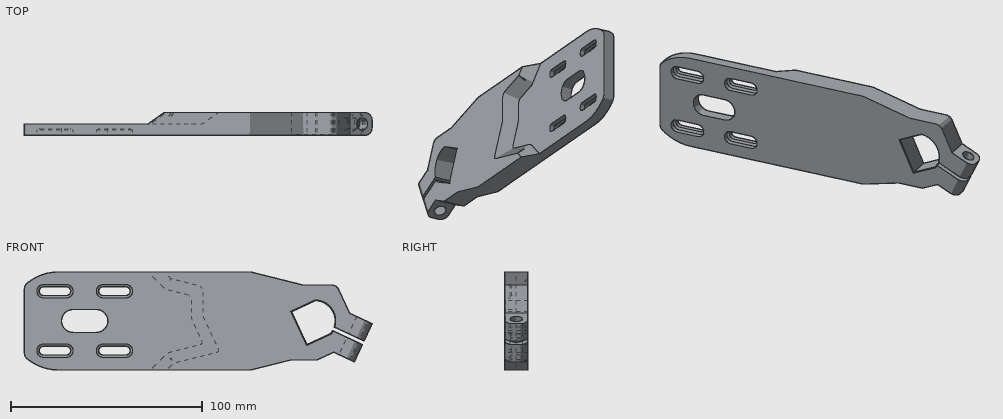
import cadquery as cq
import math

total_length = 181.35
plate_height = 51.2
full_thickness = 12.0
thin_thickness = 6.0
half_height = plate_height / 2

end_large_radius = half_height
end_small_radius = 4.0
end_arc_start_x = 17.8

taper_start_x = 118.0
taper_slope = 0.25
taper_top_z = 18.8
taper_bottom_z = -20.4
taper_corner_radius = 5.0

clamp_angle = 25.0
bore_rim_radius = 11.0
bore_rim_flat_distance = 9.2
bore_rim_width = 19.6
bore_chamfer = 0.4
bore_chamfer_angle = 45.0

hub_right_distance = 18.3
hub_lower_distance = 19.0
hub_corner_radius = 4.2

ear_reach = 27.8
ear_half_width = 11.0
ear_offset = 0.4
ear_end_radius = 4.2
slit_width = 2.0
screw_diameter = 6.3
screw_reach = 22.0

slot_center_x = 31.5
slot_pitch = 31.0
slot_length = 16.3
slot_width = 4.4
slot_counterbore_depth = 2.8
slot_bevel_width = 1.3
slot_bevel_angle = 25.0
center_slot_length = 24.0
center_slot_width = 11.8

recess_depth = full_thickness - thin_thickness
recess_wall_angle = 45.0
recess_margin = 20.0
recess_top_x = 72.9
recess_corner_run = 3.6
recess_upper_length = 16.6
recess_wall_end_z = 2.6
recess_far_z = -16.0
recess_upper_corner_radius = 5.0
recess_far_corner_radius = 2.0
corner_tolerance = 0.01

clamp_cos = math.cos(math.radians(clamp_angle))
clamp_sin = math.sin(math.radians(clamp_angle))

double_angle_cos = math.cos(math.radians(2 * clamp_angle))
double_angle_sin = math.sin(math.radians(2 * clamp_angle))

bore_center_x = total_length - ear_reach * clamp_cos - (ear_offset + ear_half_width) * clamp_sin


def extrude_back(sketch, depth):
    """Extrude an XZ sketch from its plane towards +Y."""
    return sketch.extrude(-depth)


def ear_point(reach, side):
    """Point at a reach from the bore centre along the slit and a side distance from the slit's middle."""
    offset = ear_offset + side
    return (
        bore_center_x + reach * clamp_cos + offset * clamp_sin,
        -reach * clamp_sin + offset * clamp_cos,
    )


def bore_point(along, side):
    """Point at a distance along the bore's square axis and a side offset square to it."""
    return (
        bore_center_x + along * clamp_cos - side * clamp_sin,
        along * clamp_sin + side * clamp_cos,
    )


def bore_side_at_z(side, z):
    """Point on the line at a side offset of the bore axis, at height z."""
    return bore_point((z - side * clamp_cos) / clamp_sin, side)


def bore_along_at_z(along, z):
    """Point on the line square to the bore axis at a given distance, at height z."""
    return bore_point(along, (z - along * clamp_sin) / clamp_cos)


def ear_edge_along(along, side):
    """Point where an ear edge meets the hub line square to the bore axis."""
    return ear_point((along - (ear_offset + side) * double_angle_sin) / double_angle_cos, side)


def ear_edge_side(hub_side, side):
    """Point where an ear edge meets the hub line parallel to the bore axis."""
    return ear_point(((ear_offset + side) * double_angle_cos - hub_side) / double_angle_sin, side)


def vertical_edge_near(point):
    """Selector for the Y-direction edge that passes through an XZ point."""
    return cq.selectors.NearestToPointSelector((point[0], full_thickness / 2, point[1]))


def make_plate():
    """Full-thickness plate with the clamp hub and ears."""
    blend_reach = end_large_radius - end_small_radius
    blend_z = math.sqrt(blend_reach**2 - (end_arc_start_x - end_small_radius) ** 2)
    junction_scale = end_large_radius / blend_reach
    junction_x = end_arc_start_x + (end_small_radius - end_arc_start_x) * junction_scale
    junction_z = blend_z * junction_scale
    junction_angle = math.atan2(blend_z, end_arc_start_x - end_small_radius)

    large_mid_angle = (junction_angle + math.pi / 2) / 2
    large_mid_x = end_arc_start_x - end_large_radius * math.cos(large_mid_angle)
    large_mid_z = end_large_radius * math.sin(large_mid_angle)
    small_mid_x = end_small_radius * (1 - math.cos(junction_angle / 2))
    small_mid_z = blend_z + end_small_radius * math.sin(junction_angle / 2)

    taper_start_top = (taper_start_x, half_height)
    taper_start_bottom = (taper_start_x, -half_height)
    taper_end_top = (taper_start_x + (half_height - taper_top_z) / taper_slope, taper_top_z)
    taper_end_bottom = (taper_start_x + (half_height + taper_bottom_z) / taper_slope, taper_bottom_z)
    hub_corner = bore_along_at_z(hub_right_distance, taper_top_z)

    outline = (
        cq.Workplane("XZ")
        .moveTo(end_arc_start_x, half_height)
        .lineTo(*taper_start_top)
        .lineTo(*taper_end_top)
        .lineTo(*hub_corner)
        .lineTo(*ear_edge_along(hub_right_distance, ear_half_width))
        .lineTo(*ear_point(ear_reach, ear_half_width))
        .lineTo(*ear_point(ear_reach, -ear_half_width))
        .lineTo(*ear_edge_side(-hub_lower_distance, -ear_half_width))
        .lineTo(*bore_side_at_z(-hub_lower_distance, taper_bottom_z))
        .lineTo(*taper_end_bottom)
        .lineTo(*taper_start_bottom)
        .lineTo(end_arc_start_x, -half_height)
        .threePointArc((large_mid_x, -large_mid_z), (junction_x, -junction_z))
        .threePointArc((small_mid_x, -small_mid_z), (0, -blend_z))
        .lineTo(0, blend_z)
        .threePointArc((small_mid_x, small_mid_z), (junction_x, junction_z))
        .threePointArc((large_mid_x, large_mid_z), (end_arc_start_x, half_height))
        .close()
    )
    plate = extrude_back(outline, full_thickness)

    for corner in (taper_start_top, taper_start_bottom, taper_end_top, taper_end_bottom):
        plate = plate.edges(vertical_edge_near(corner)).fillet(taper_corner_radius)
    plate = plate.edges(vertical_edge_near(hub_corner)).fillet(hub_corner_radius)

    for end_y in (0, full_thickness):
        end_x, end_z = ear_point(ear_reach, 0)
        end_edge = cq.selectors.NearestToPointSelector((end_x, end_y, end_z))
        plate = plate.edges(end_edge).fillet(ear_end_radius)
    return plate


def make_recess():
    """Tool that clears the back of the thin end; its wall shrinks towards the recess floor."""
    upper_start = (recess_top_x + recess_corner_run, half_height - recess_corner_run)
    wall_top = (upper_start[0] + recess_upper_length, upper_start[1] - recess_upper_length * taper_slope)
    wall_end = (wall_top[0], recess_wall_end_z)
    far_run = (recess_wall_end_z - recess_far_z) * math.tan(math.radians(clamp_angle))
    far_corner = (wall_end[0] + far_run, recess_far_z)
    lower_end_z = recess_corner_run - half_height
    lower_end = (far_corner[0] - (recess_far_z - lower_end_z) / taper_slope, lower_end_z)

    outer_z = half_height + recess_margin
    rim = [
        (-recess_margin, outer_z),
        (recess_top_x - recess_margin, outer_z),
        upper_start,
        wall_top,
        wall_end,
        far_corner,
        lower_end,
        (lower_end[0] - recess_corner_run - recess_margin, -outer_z),
        (-recess_margin, -outer_z),
    ]
    sketch = cq.Workplane("XZ", origin=(0, full_thickness, 0)).polyline(rim).close()
    recess = sketch.extrude(recess_depth, taper=recess_wall_angle)
    for corner, radius in (
        (wall_top, recess_upper_corner_radius),
        (far_corner, recess_far_corner_radius),
    ):
        rim_corner = cq.Vertex.makeVertex(corner[0], full_thickness, corner[1])
        wall_edges = recess.edges("not #Y")
        corner_edge = wall_edges.filter(lambda edge: edge.distance(rim_corner) < corner_tolerance)
        recess = corner_edge.fillet(radius)
    return recess


def bore_sketch(inset):
    """Bore outline with every wall moved inwards from the rim by the inset."""
    radius = bore_rim_radius - inset
    half_width = bore_rim_width / 2 - inset
    flat = inset - bore_rim_flat_distance
    meeting = math.sqrt(radius**2 - half_width**2)
    return (
        cq.Workplane("XZ")
        .moveTo(*bore_point(flat, half_width))
        .lineTo(*bore_point(meeting, half_width))
        .threePointArc(bore_point(radius, 0), bore_point(meeting, -half_width))
        .lineTo(*bore_point(flat, -half_width))
        .close()
    )


def make_bore():
    """Through bore with one square side and a chamfered front rim."""
    through = extrude_back(bore_sketch(bore_chamfer), full_thickness)
    chamfer = bore_sketch(0).extrude(-bore_chamfer, taper=bore_chamfer_angle)
    return through.union(chamfer)


def make_slit():
    """Slit from the bore out between the ears."""
    half_slit = slit_width / 2
    outline = cq.Workplane("XZ").polyline(
        [
            ear_point(0, half_slit),
            ear_point(ear_reach + slit_width, half_slit),
            ear_point(ear_reach + slit_width, -half_slit),
            ear_point(0, -half_slit),
        ]
    ).close()
    return extrude_back(outline, full_thickness)


def make_screw_hole():
    """Clamp screw hole square to the slit, through both ears."""
    hole_length = 4 * ear_half_width
    start_x, start_z = ear_point(screw_reach, -hole_length / 2)
    return cq.Workplane(
        cq.Solid.makeCylinder(
            screw_diameter / 2,
            hole_length,
            cq.Vector(start_x, full_thickness / 2, start_z),
            cq.Vector(clamp_sin, 0, clamp_cos),
        )
    )


def make_slot(center_x, center_z, length, width):
    """Plain through slot along X."""
    sketch = cq.Workplane("XZ").center(center_x, center_z).slot2D(length, width)
    return extrude_back(sketch, full_thickness)


def make_counterbored_slot(center_x, center_z):
    """Through slot with a wider, deeper front part that ends in a sloping step."""
    wide_length = slot_length + 2 * slot_bevel_width
    wide_width = slot_width + 2 * slot_bevel_width
    bevel_depth = slot_bevel_width * math.tan(math.radians(slot_bevel_angle))
    front = cq.Workplane("XZ").center(center_x, center_z).slot2D(wide_length, wide_width)
    front = extrude_back(front, slot_counterbore_depth)
    bevel = (
        cq.Workplane("XZ", origin=(0, slot_counterbore_depth, 0))
        .center(center_x, center_z)
        .slot2D(wide_length, wide_width)
        .extrude(-bevel_depth, taper=90 - slot_bevel_angle)
    )
    return make_slot(center_x, center_z, slot_length, slot_width).union(front).union(bevel)


result = make_plate()
result = result.cut(make_recess())
result = result.cut(make_bore())
result = result.cut(make_slit())
result = result.cut(make_screw_hole())
result = result.cut(make_slot(slot_center_x, 0, center_slot_length, center_slot_width))
for side_x in (-1, 1):
    for side_z in (-1, 1):
        slot_x = slot_center_x + side_x * slot_pitch / 2
        slot_z = side_z * slot_pitch / 2
        result = result.cut(make_counterbored_slot(slot_x, slot_z))